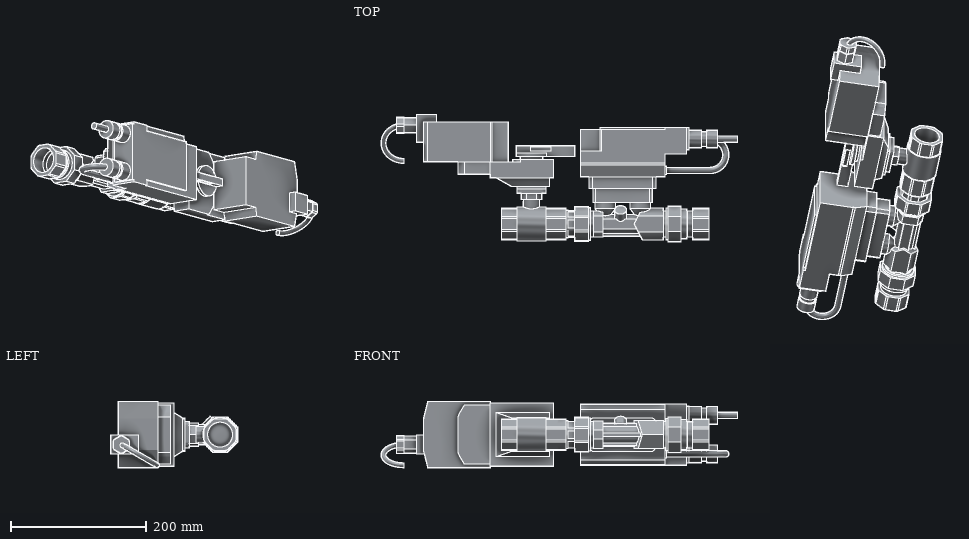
import cadquery as cq
import math


socket_flats = 47.0
socket_round = 25.0
socket_bore_radius = 18.5
socket_bore_depth = 31.5
octagon_sides = 8
hexagon_sides = 6

valve_start = -44.5
valve_end = 51.0
valve_body_radius = 25.5
valve_body_half_length = 21.5
neck_radius = 12.0
neck_top = 36.0
gland_nut_corners = 30.5
gland_nut_top = 45.5
flange_length = 43.5
flange_width = 39.5
flange_corner = 8.0
flange_top = 52.0

pipe_end = 263.0
inlet_collar_end = 54.5
inlet_collar_radius = 20.5
inlet_octagon_end = 64.0
inlet_octagon_flats = 39.5
inlet_nut_end = 84.5
inlet_nut_flats = 52.0
inlet_nut_round = 27.5
inlet_ring_end = 87.5
inlet_ring_radius = 24.5
groove_radius = 19.5
inlet_groove_end = 92.0
inlet_hexagon_flats = 40.5
inlet_hexagon_reach = 19.5
outlet_groove_end = 199.0
outlet_ring_end = 202.0
outlet_ring_radius = 24.0
outlet_nut_end = 222.0
outlet_nut_flats = 53.0
outlet_collar_end = 230.0
outlet_collar_radius = 22.0
tail_start = 238.5
bare_tube_start = 106.0
bare_tube_end = 166.5
bare_tube_radius = 14.0
rib_reach = 18.5
rib_width = 5.5
band_half_width = 7.5
band_half_height = 16.5
hexagon_block_start = 152.0
hexagon_block_end = 195.5
hexagon_block_flats = 41.0
hexagon_point_length = 12.0
boss_radius = 15.5
boss_positions = (109.5, 161.0)
boss_cone_top = 22.5
boss_cone_bottom = 10.5
boss_cone_small_radius = 6.5
probe_x = 132.0
probe_radius = 9.0
probe_reach = 29.5
probe_tilt = 45

meter_bottom = 31.5
meter_foot_top = 52.5
meter_base_top = 69.5
meter_foot_start = 91.0
meter_foot_end = 179.0
meter_foot_chamfer = 4.0
meter_foot_half_height = 17.5
meter_base_start = 85.0
meter_base_end = 185.0
meter_base_chamfer = 5.5
meter_base_half_height = 25.0
meter_start = 72.5
meter_end = 198.0
meter_back = 140.0
meter_half_height = 45.5
meter_bevel_depth = 17.5
meter_bevel_height = 8.0
seam_width = 3.0
seam_depth = 1.0
notch_end = 103.5
meter_lid_start = 101.5
notch_front = 107.5
notch_depth = 10.5
notch_slope = 2.0
connector_end = 229.5
connector_front = 103.5
connector_back = 143.0
meter_lid_half_height = 37.0
connector_plate_end = 233.5
connector_plate_front = 110.0
connector_plate_half_height = 42.0
meter_gland_y = 125.5
meter_gland_radius = 13.0
meter_gland_neck_radius = 11.0
meter_gland_neck_start = 252.0
meter_gland_nut_start = 259.0
meter_gland_end = 275.5
meter_gland_z = 28.5
meter_cable_radius = 5.0
meter_cable_end = 305.0
loop_centre_x = 264.5
loop_return_y = 79.0
cable_collar_radius = 6.5
cable_collar_length = 2.0

motor_start = -160.0
motor_end = -34.5
motor_front = 92.0
motor_back = 151.0
motor_half_height = 49.0
motor_flat_half_height = 23.0
motor_taper = 6.5
cap_start = -58.0
cap_slope = 2.5
cap_inset = 12.5
gear_start = -109.0
gear_flat_half_height = 26.5
gear_edge_x = -106.0
gear_edge_half_height = 32.5
gear_shoulder_x = -99.0
gear_half_height = 44.0
gear_front = 73.5
arm_start = -61.0
arm_end = 32.5
arm_front = 68.0
arm_half_height = 47.0
pad_start = -28.0
pad_taper = 11.5
pad_back = 95.5
pad_flat_half_height = 32.5
nose_start = -52.5
nose_end = 27.0
nose_half_height = 32.5
nose_tip_start = -29.5
nose_tip_half_height = 25.0
nose_tip = 55.5
foot_half_length = flange_length / 2
foot_half_height = 23.0
collar_radius = 17.0
dial_radius = 22.5
dial_front = 100.0
dial_back = 105.0
lever_back = 116.0
lever_end = 64.5
lever_half_height = 5.5
window_start = -1.0
window_end = 29.0
window_front = 107.5
window_back = 114.0
window_depth = 2.0
entry_start = -170.5
entry_end = -140.5
entry_front = 121.0
entry_back = 162.0
entry_bottom = -29.0
entry_top = -0.5
motor_gland_y = 146.0
motor_gland_z = (entry_bottom + entry_top) / 2
motor_gland_joint = -188.5
motor_gland_end = -200.0
motor_gland_turn = 90
motor_gland_flats = 22.5
motor_cap_flats = 24.5
motor_cap_round = 13.0
motor_cable_radius = 3.5
motor_cable_bend = 30.5
motor_cable_centre_x = motor_gland_joint
motor_cable_tilt = 30


def block(x0, x1, y0, y1, z0, z1):
    """Box given by its limits along each axis."""
    return cq.Workplane("XY").box(x1 - x0, y1 - y0, z1 - z0, centered=False).translate((x0, y0, z0))


def plate(x0, x1, y0, y1, half_height):
    """Box that is symmetric about Z = 0."""
    return block(x0, x1, y0, y1, -half_height, half_height)


def rod_x(x0, x1, radius, y=0, z=0):
    """Cylinder along X."""
    return cq.Workplane("YZ", origin=(x0, y, z)).circle(radius).extrude(x1 - x0)


def rod_y(y0, y1, radius, x=0):
    """Cylinder along Y, centred on Z = 0."""
    return cq.Workplane("XZ", origin=(x, y0, 0)).circle(radius).extrude(y0 - y1)


def polygon_x(x0, x1, sides, flats, turn, y=0, z=0):
    """Prism along X, given by its width across flats; turn is about its own axis in degrees."""
    corners = flats / math.cos(math.pi / sides)
    prism = cq.Workplane("YZ").polygon(sides, corners).extrude(x1 - x0)
    return prism.rotate((0, 0, 0), (1, 0, 0), turn).translate((x0, y, z))


def octagon_nut(x0, x1, flats, round_radius):
    """Octagon on the pipe axis with its corners turned round."""
    half_step = 180 / octagon_sides
    return polygon_x(x0, x1, octagon_sides, flats, half_step).intersect(rod_x(x0, x1, round_radius))


def outline_y(points, y0, y1):
    """Prism along Y from half an outline in X and Z, mirrored about Z = 0."""
    mirrored = [(x, -z) for x, z in reversed(points)]
    return cq.Workplane("XZ", origin=(0, y0, 0)).polyline(points + mirrored).close().extrude(y0 - y1)


def join(shapes):
    """Union of all shapes as one solid."""
    whole = shapes[0]
    for shape in shapes[1:]:
        whole = whole.union(shape)
    return whole


def make_ball_valve():
    flange = (
        cq.Workplane("XZ", origin=(0, gland_nut_top, 0))
        .rect(flange_length, flange_width)
        .extrude(gland_nut_top - flange_top)
        .edges("|Y")
        .fillet(flange_corner)
    )
    gland_nut = (
        cq.Workplane("XZ", origin=(0, neck_top, 0))
        .polygon(hexagon_sides, gland_nut_corners)
        .extrude(neck_top - gland_nut_top)
    )
    body = join([
        octagon_nut(valve_start, valve_end, socket_flats, socket_round),
        rod_x(-valve_body_half_length, valve_body_half_length, valve_body_radius),
        rod_y(0, neck_top, neck_radius),
        gland_nut,
        flange,
    ])
    return body.cut(rod_x(valve_start, valve_start + socket_bore_depth, socket_bore_radius))


def make_hexagon_block():
    """Hexagon with corners at +Y and -Y, cut to a V point in plan at its inner end."""
    reach = hexagon_block_flats / math.sqrt(3)
    shoulder = hexagon_block_start + hexagon_point_length
    plan = (
        cq.Workplane("XY")
        .polyline([
            (hexagon_block_start, 0),
            (shoulder, reach),
            (hexagon_block_end, reach),
            (hexagon_block_end, -reach),
            (shoulder, -reach),
        ])
        .close()
        .extrude(hexagon_block_flats, both=True)
    )
    prism = polygon_x(hexagon_block_start, hexagon_block_end, hexagon_sides, hexagon_block_flats, 0)
    return prism.intersect(plan)


def make_inlet_hexagon():
    """Hexagon whose corners at +Y and -Y are cut flat."""
    prism = polygon_x(inlet_groove_end, bare_tube_start, hexagon_sides, inlet_hexagon_flats, 0)
    limits = plate(inlet_groove_end, bare_tube_start, -inlet_hexagon_reach, inlet_hexagon_reach,
                   inlet_hexagon_flats)
    return prism.intersect(limits)


def make_outlet_nut():
    """Union nut with sharp corners."""
    half_step = 180 / octagon_sides
    return polygon_x(outlet_ring_end, outlet_nut_end, octagon_sides, outlet_nut_flats, half_step)


def make_transducer_boss(x):
    """Round boss that narrows to a cone where it enters the pipe."""
    cone = (
        cq.Workplane("XZ", origin=(x, boss_cone_bottom, 0))
        .circle(boss_cone_small_radius)
        .workplane(offset=boss_cone_bottom - boss_cone_top)
        .circle(boss_radius)
        .loft()
    )
    return rod_y(boss_cone_top, meter_bottom, boss_radius, x).union(cone)


def make_flow_pipe():
    probe = rod_y(0, probe_reach, probe_radius, probe_x).rotate((0, 0, 0), (1, 0, 0), probe_tilt)
    rib = block(bare_tube_start, bare_tube_end, -rib_reach, 0, -rib_width / 2, rib_width / 2)
    band = block(bare_tube_start, bare_tube_end, -band_half_width, band_half_width,
                 -band_half_height, band_half_height)
    pipe = join([
        rod_x(valve_end, inlet_collar_end, inlet_collar_radius),
        octagon_nut(inlet_collar_end, inlet_octagon_end, inlet_octagon_flats, inlet_collar_radius),
        octagon_nut(inlet_octagon_end, inlet_nut_end, inlet_nut_flats, inlet_nut_round),
        rod_x(inlet_nut_end, inlet_ring_end, inlet_ring_radius),
        rod_x(inlet_ring_end, inlet_groove_end, groove_radius),
        make_inlet_hexagon(),
        rod_x(bare_tube_start, bare_tube_end, bare_tube_radius),
        rib,
        band,
        make_hexagon_block(),
        rod_x(hexagon_block_end, outlet_groove_end, groove_radius),
        rod_x(outlet_groove_end, outlet_ring_end, outlet_ring_radius),
        make_outlet_nut(),
        rod_x(outlet_nut_end, outlet_collar_end, outlet_collar_radius),
        rod_x(outlet_collar_end, tail_start, groove_radius),
        octagon_nut(tail_start, pipe_end, socket_flats, socket_round),
        probe,
    ] + [make_transducer_boss(x) for x in boss_positions])
    return pipe.cut(rod_x(pipe_end - socket_bore_depth, pipe_end, socket_bore_radius))


def make_meter_case():
    bevel_back = meter_base_top + meter_bevel_depth
    inner_half_height = meter_half_height - meter_bevel_height
    profile = [
        (meter_base_top, inner_half_height),
        (bevel_back, meter_half_height),
        (bevel_back, meter_half_height - seam_depth),
        (bevel_back + seam_width, meter_half_height - seam_depth),
        (bevel_back + seam_width, meter_half_height),
        (meter_back, meter_half_height),
    ]
    mirrored = [(y, -z) for y, z in reversed(profile)]
    case = (
        cq.Workplane("YZ", origin=(meter_start, 0, 0))
        .polyline(profile + mirrored)
        .close()
        .extrude(meter_end - meter_start)
    )
    notch_floor = meter_half_height - notch_depth
    notch = (
        cq.Workplane("XZ", origin=(0, notch_front, 0))
        .polyline([
            (meter_start, notch_floor),
            (notch_end - notch_slope, notch_floor),
            (notch_end, meter_half_height),
            (meter_start, meter_half_height),
        ])
        .close()
        .extrude(notch_front - meter_back)
    )
    return case.cut(notch)


def make_meter_gland(z):
    return join([
        rod_x(connector_plate_end, meter_gland_neck_start, meter_gland_radius, meter_gland_y, z),
        rod_x(meter_gland_neck_start, meter_gland_nut_start, meter_gland_neck_radius, meter_gland_y, z),
        rod_x(meter_gland_nut_start, meter_gland_end, meter_gland_radius, meter_gland_y, z),
    ])


def make_loop_cable():
    """Cable that leaves the lower gland, bends back and enters the case."""
    bend = (meter_gland_y - loop_return_y) / 2
    path = (
        cq.Workplane("XY", origin=(0, 0, -meter_gland_z))
        .moveTo(meter_end, loop_return_y)
        .lineTo(loop_centre_x, loop_return_y)
        .threePointArc((loop_centre_x + bend, loop_return_y + bend), (loop_centre_x, meter_gland_y))
    )
    start = (meter_end, loop_return_y, -meter_gland_z)
    cable = cq.Workplane("YZ", origin=start).circle(meter_cable_radius).sweep(path)
    collar = rod_x(meter_end, meter_end + cable_collar_length, cable_collar_radius,
                   loop_return_y, -meter_gland_z)
    return cable.union(collar)


def make_flow_electronics():
    foot = (
        plate(meter_foot_start, meter_foot_end, meter_bottom, meter_foot_top, meter_foot_half_height)
        .edges("|Y")
        .chamfer(meter_foot_chamfer)
    )
    base = (
        plate(meter_base_start, meter_base_end, meter_foot_top, meter_base_top, meter_base_half_height)
        .edges("|Y")
        .chamfer(meter_base_chamfer)
    )
    return join([
        make_meter_case(),
        base,
        foot,
        plate(meter_lid_start, meter_end, meter_back, connector_back, meter_lid_half_height),
        plate(meter_end, connector_end, connector_front, connector_back, meter_half_height),
        plate(connector_end, connector_plate_end, connector_plate_front, connector_back,
              connector_plate_half_height),
        make_meter_gland(meter_gland_z),
        make_meter_gland(-meter_gland_z),
        rod_x(meter_gland_nut_start, meter_cable_end, meter_cable_radius, meter_gland_y, meter_gland_z),
        make_loop_cable(),
    ])


def make_motor_box():
    box = outline_y([
        (motor_start, motor_flat_half_height),
        (motor_start + motor_taper, motor_half_height),
        (cap_start - cap_slope, motor_half_height),
        (cap_start, motor_half_height - cap_inset),
        (motor_end, motor_half_height - cap_inset),
    ], motor_front, motor_back)
    gear = outline_y([
        (gear_start, gear_flat_half_height),
        (gear_edge_x, gear_edge_half_height),
        (gear_shoulder_x, gear_half_height),
        (arm_start, gear_half_height),
    ], gear_front, motor_front)
    return box.union(gear)


def make_arm():
    arm = plate(arm_start, arm_end, arm_front, motor_front, arm_half_height)
    pad = outline_y([
        (pad_start, pad_flat_half_height),
        (pad_start + pad_taper, arm_half_height),
        (arm_end, arm_half_height),
    ], motor_front, pad_back)
    nose_length = nose_end - nose_start
    tip_length = nose_end - nose_tip_start
    tip_shift = (nose_tip_start - nose_start) / 2
    nose = (
        cq.Workplane("XZ", origin=((nose_start + nose_end) / 2, arm_front, 0))
        .rect(nose_length, 2 * nose_half_height)
        .workplane(offset=arm_front - nose_tip)
        .center(tip_shift, 0)
        .rect(tip_length, 2 * nose_tip_half_height)
        .loft()
    )
    foot = plate(-foot_half_length, foot_half_length, flange_top, nose_tip, foot_half_height)
    return join([arm, pad, nose, foot])


def make_lever():
    """Position lever on the back end of the stem, with a shallow window on both flat sides."""
    lever = plate(-dial_radius, lever_end, dial_front, lever_back, lever_half_height)
    core_half_height = lever_half_height - window_depth
    window = plate(window_start, window_end, window_front, window_back, lever_half_height)
    window_core = plate(window_start, window_end, window_front, window_back, core_half_height)
    return join([
        lever.cut(window).union(window_core),
        rod_y(pad_back, dial_front, collar_radius),
        rod_y(dial_front, dial_back, dial_radius),
    ])


def make_motor_cable():
    """Cable entry block, gland and a half-circle of cable in a tilted plane."""
    entry = block(entry_start, entry_end, entry_front, entry_back, entry_bottom, entry_top)
    nut = polygon_x(motor_gland_joint, entry_start, hexagon_sides, motor_gland_flats, motor_gland_turn,
                    motor_gland_y, motor_gland_z)
    cap = polygon_x(motor_gland_end, motor_gland_joint, hexagon_sides, motor_cap_flats, motor_gland_turn,
                    motor_gland_y, motor_gland_z)
    cap = cap.intersect(rod_x(motor_gland_end, motor_gland_joint, motor_cap_round,
                              motor_gland_y, motor_gland_z))
    cable = (
        cq.Workplane("YZ")
        .circle(motor_cable_radius)
        .revolve(180, (-motor_cable_bend, 0, 0), (-motor_cable_bend, 1, 0))
        .rotate((0, 0, 0), (1, 0, 0), motor_cable_tilt)
        .translate((motor_cable_centre_x, motor_gland_y, motor_gland_z))
    )
    return join([entry, nut, cap, cable])


def make_actuator():
    return join([make_motor_box(), make_arm(), make_lever(), make_motor_cable()])


ball_valve = make_ball_valve()
flow_pipe = make_flow_pipe()
flow_electronics = make_flow_electronics()
actuator = make_actuator()

result = cq.Compound.makeCompound([
    ball_valve.val(),
    flow_pipe.val(),
    flow_electronics.val(),
    actuator.val(),
])